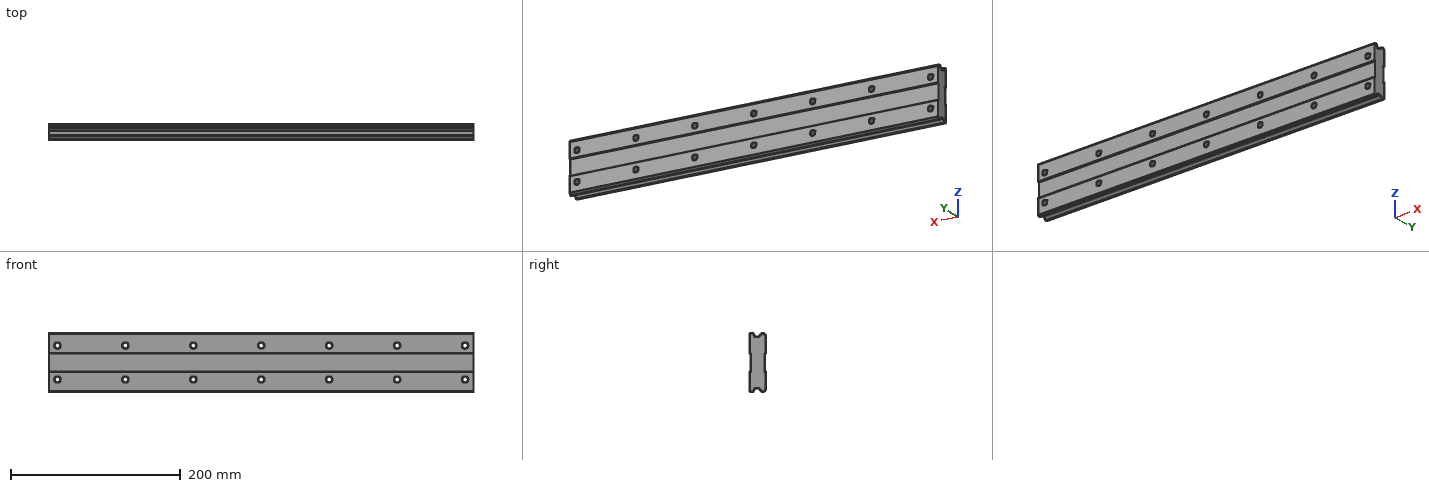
import cadquery as cq

length = 500.0
thickness = 19.0
height = 69.0

front_chamfer = 1.0
back_chamfer = 2.5

groove_depth = 4.0
groove_front_y = -5.5
groove_floor_front_y = -3.25
groove_floor_back_y = 1.25
groove_kink_y = 2.5
groove_kink_height = 1.5
groove_back_y = 5.0

relief_floor_width = 21.0
relief_depth = 1.25
relief_side_slope = 0.5

hole_diameter = 7.0
hole_columns = 7
hole_rows = 2
hole_pitch = 80.0
hole_row_spacing = 40.0


def rail_section():
    """Full YZ section: the upper half is drawn and mirrored about mid-height."""
    front = -thickness / 2
    back = thickness / 2
    top = height / 2
    groove_floor = top - groove_depth
    relief_floor_end = relief_floor_width / 2
    relief_end = relief_floor_end + relief_side_slope
    front_half = [
        (front + relief_depth, 0),
        (front + relief_depth, relief_floor_end),
        (front, relief_end),
        (front, top - front_chamfer),
        (front + front_chamfer, top),
    ]
    groove = [
        (groove_front_y, top),
        (groove_floor_front_y, groove_floor),
        (groove_floor_back_y, groove_floor),
        (groove_kink_y, groove_floor + groove_kink_height),
        (groove_back_y, top),
    ]
    back_half = [
        (back - back_chamfer, top),
        (back, top - back_chamfer),
        (back, relief_end),
        (back - relief_depth, relief_floor_end),
        (back - relief_depth, 0),
    ]
    return cq.Workplane("YZ").polyline(front_half + groove + back_half).mirrorX()


def mounting_holes():
    """Cylinders passing through the full thickness at every hole position."""
    return (
        cq.Workplane("XZ")
        .rarray(hole_pitch, hole_row_spacing, hole_columns, hole_rows)
        .circle(hole_diameter / 2)
        .extrude(thickness, both=True)
    )


rail = rail_section().extrude(length / 2, both=True)
result = rail.cut(mounting_holes())